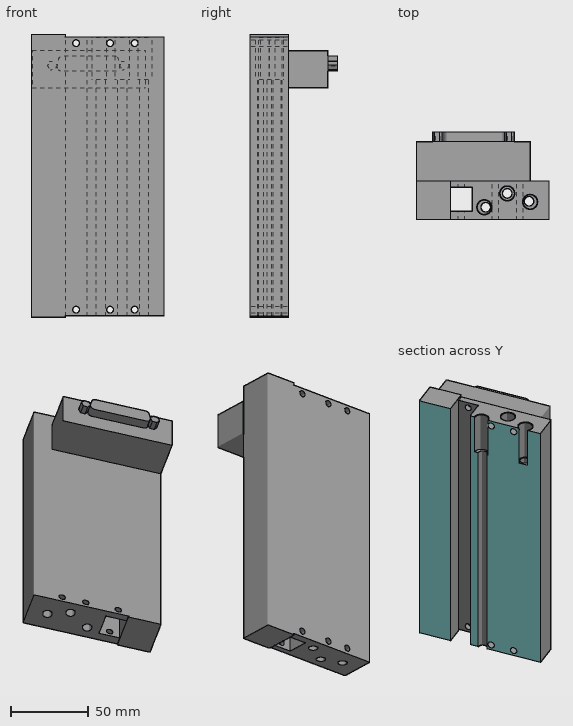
import cadquery as cq
import math

edge_radius = 0.5

overall_length = 183.5
plate_width = 86.0
plate_thickness = 25.1
pad_width = 22.2
top_pad_height = 1.7
bottom_pad_height = 1.0

cross_hole_diameter = 4.2
cross_hole_xs = (29.0, 51.0, 67.0)
cross_hole_zs = (5.0, 177.8)

duct_width = 14.0
duct_depth = 15.5
duct_floor_y = 5.5

socket_diameter = 9.2
socket_depth = 27.5
socket_chamfer = 0.4
chamfer_angle = 45
passage_diameter = 6.0
socket_centers = ((44.0, 8.0), (58.9, 17.0), (73.8, 11.5))
passage_centers = ((45.0, 8.0), (58.9, 17.0), (73.0, 12.0))

housing_width = 74.0
housing_depth = 25.5
housing_bottom_z = 148.8
housing_top_z = 173.0

connector_depth = 6.2
shell_top_z = 169.5
shell_height = 10.0
shell_top_width = 38.2
shell_side_angle = 10.0
shell_corner_radius = 3.0
screw_spacing = 46.8
screw_across_corners = 6.2
screw_center_z = 163.3
screw_rotation = 5.0

housing_face_y = plate_thickness + housing_depth
connector_center_x = housing_width / 2


def box_between(low, high):
    """Axis-aligned box from its lowest to its highest corner."""
    sizes = [top - bottom for bottom, top in zip(low, high)]
    return cq.Workplane("XY").box(*sizes, centered=False).translate(low)


def y_plane(y):
    """Workplane facing +Y at the given y; its local x runs along -X and its local y along Z."""
    return cq.Workplane(cq.Plane(origin=(0, y, 0), xDir=(-1, 0, 0), normal=(0, 1, 0)))


def z_cylinders(centers, diameter, bottom_z, top_z):
    """Cylinders along Z at the given XY centers."""
    plane = cq.Workplane("XY").workplane(offset=bottom_z)
    return plane.pushPoints(centers).circle(diameter / 2).extrude(top_z - bottom_z)


plate_top_z = overall_length - top_pad_height
plate = box_between((0, 0, bottom_pad_height), (plate_width, plate_thickness, plate_top_z))
plate = plate.edges("|Z").fillet(edge_radius)
for pad_bottom_z, pad_top_z in ((0, bottom_pad_height), (plate_top_z, overall_length)):
    pad = box_between((0, 0, pad_bottom_z), (pad_width, plate_thickness, pad_top_z))
    plate = plate.union(pad.edges("|Z").fillet(edge_radius))

hole_points = [(-x, z) for x in cross_hole_xs for z in cross_hole_zs]
cross_holes = y_plane(0).pushPoints(hole_points).circle(cross_hole_diameter / 2).extrude(plate_thickness)

duct = box_between(
    (pad_width, duct_floor_y, 0),
    (pad_width + duct_width, duct_floor_y + duct_depth, overall_length),
)

passages = z_cylinders(passage_centers, passage_diameter, 0, overall_length)
sockets = z_cylinders(socket_centers, socket_diameter, plate_top_z - socket_depth, plate_top_z)
mouths = (
    cq.Workplane("XY")
    .workplane(offset=plate_top_z)
    .pushPoints(socket_centers)
    .circle(socket_diameter / 2 + socket_chamfer)
    .extrude(-socket_chamfer, taper=chamfer_angle)
)
plate = plate.cut(cross_holes).cut(duct).cut(passages).cut(sockets).cut(mouths)

housing = box_between(
    (0, plate_thickness, housing_bottom_z),
    (housing_width, housing_face_y, housing_top_z),
).edges("|Y").fillet(edge_radius)


def connector_shell():
    """Rounded trapezoid, wider at the bottom."""
    top_half = shell_top_width / 2
    bottom_half = top_half + shell_height * math.tan(math.radians(shell_side_angle))
    shell_bottom_z = shell_top_z - shell_height
    corners = [
        (-connector_center_x - top_half, shell_top_z),
        (-connector_center_x + top_half, shell_top_z),
        (-connector_center_x + bottom_half, shell_bottom_z),
        (-connector_center_x - bottom_half, shell_bottom_z),
    ]
    shell = y_plane(housing_face_y).polyline(corners).close().extrude(connector_depth)
    return shell.edges("|Y").fillet(shell_corner_radius)


def jack_screw(center_x):
    """Hexagonal post, turned slightly about its own axis."""
    post = y_plane(housing_face_y).polygon(6, screw_across_corners).extrude(connector_depth)
    post = post.rotate((0, 0, 0), (0, 1, 0), -screw_rotation)
    return post.translate((center_x, 0, screw_center_z))


result = plate.union(housing).union(connector_shell())
for side in (-1, 1):
    result = result.union(jack_screw(connector_center_x + side * screw_spacing / 2))